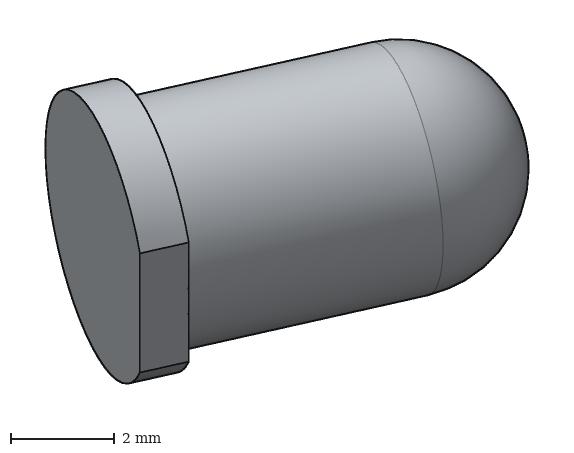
import cadquery as cq

total_length = 8.7
body_diameter = 5.0
flange_diameter = 5.8
flange_thickness = 1.0

body_radius = body_diameter / 2
flange_radius = flange_diameter / 2
dome_start = total_length - body_radius
flat_x = body_radius


def make_flange():
    """Disc whose +X side is cut by a straight flat."""
    disc = cq.Workplane("XZ").circle(flange_radius).extrude(-flange_thickness)
    keep_width = flange_radius + flat_x
    keep = cq.Workplane("XY").box(keep_width, flange_thickness, flange_diameter)
    keep = keep.translate(((flat_x - flange_radius) / 2, flange_thickness / 2, 0))
    return disc.intersect(keep)


def make_body():
    """Cylinder ending in a hemispherical dome, revolved about the Y axis."""
    dome_mid = body_radius * 0.5 ** 0.5
    return (
        cq.Workplane("XY")
        .lineTo(body_radius, 0)
        .lineTo(body_radius, dome_start)
        .threePointArc((dome_mid, dome_start + dome_mid), (0, total_length))
        .close()
        .revolve(360, (0, 0, 0), (0, 1, 0))
    )


result = make_flange().union(make_body())